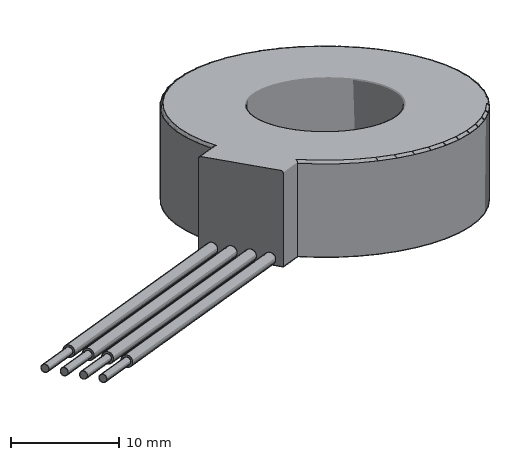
import cadquery as cq

RING_DIAMETER = 30.5
HOLE_DIAMETER = 14.5
BODY_HEIGHT = 9.5
RIM_FILLET = 0.3

BLOCK_WIDTH = 8.75

LEAD_COUNT = 4
LEAD_SPAN = 6.0
LEAD_PITCH = LEAD_SPAN / (LEAD_COUNT - 1)
LEAD_DIAMETER = 1.2
LEAD_AXIS_HEIGHT = 0.6
INSULATION_LENGTH = 30.0
CORE_DIAMETER = 0.8
CORE_LENGTH = 5.0
LEAD_EMBED = 0.7

OVERALL_LENGTH = 67.9
BLOCK_REACH = OVERALL_LENGTH - RING_DIAMETER / 2 - INSULATION_LENGTH - CORE_LENGTH


def make_body():
    """Ring and lead block with a through hole and rounded top edges."""
    ring = cq.Workplane("XY").circle(RING_DIAMETER / 2).extrude(BODY_HEIGHT)
    block = (
        cq.Workplane("XY")
        .center(0, -BLOCK_REACH / 2)
        .rect(BLOCK_WIDTH, BLOCK_REACH)
        .extrude(BODY_HEIGHT)
    )
    body = ring.union(block)
    hole = cq.Workplane("XY").circle(HOLE_DIAMETER / 2).extrude(BODY_HEIGHT)
    body = body.cut(hole)
    return body.faces(">Z").edges("not(<Y)").fillet(RIM_FILLET)


def make_lead(x):
    """One insulated wire with a bare core at its free end."""
    start = cq.Workplane("XZ", origin=(x, LEAD_EMBED - BLOCK_REACH, LEAD_AXIS_HEIGHT))
    insulation = start.circle(LEAD_DIAMETER / 2).extrude(LEAD_EMBED + INSULATION_LENGTH)
    core = start.circle(CORE_DIAMETER / 2).extrude(LEAD_EMBED + INSULATION_LENGTH + CORE_LENGTH)
    return insulation.union(core)


result = make_body()
for index in range(LEAD_COUNT):
    result = result.union(make_lead(index * LEAD_PITCH - LEAD_SPAN / 2))